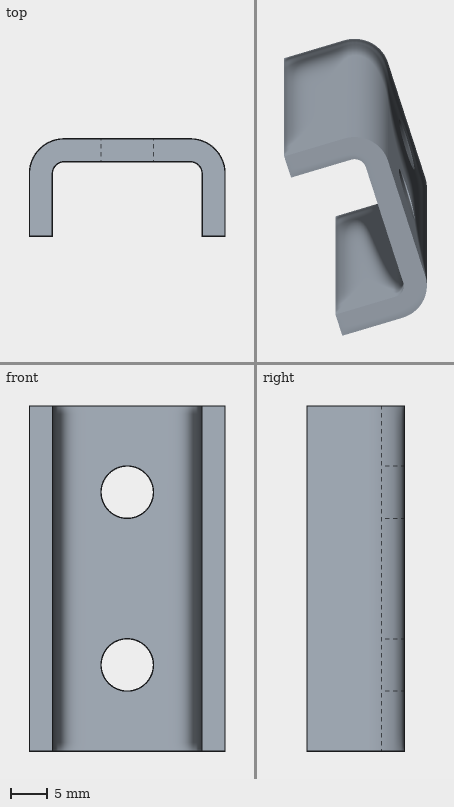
import cadquery as cq

length = 47.6
width = 27.0
depth = 13.5

wall = 3.2
inner_bend_radius = 1.6
outer_bend_radius = inner_bend_radius + wall

hole_diameter = 7.2
hole_spacing = length / 2


def upright_block(block_width, block_depth, bend_radius):
    """Full-length block starting at the open side (Y = 0), rounded along its two back edges."""
    return (
        cq.Workplane("XY")
        .box(block_width, block_depth, length, centered=(True, False, True))
        .edges("|Z and >Y")
        .fillet(bend_radius)
    )


outside = upright_block(width, depth, outer_bend_radius)
inside = upright_block(width - 2 * wall, depth - wall, inner_bend_radius)
channel = outside.cut(inside)

holes = (
    cq.Workplane("XZ")
    .pushPoints([(0, -hole_spacing / 2), (0, hole_spacing / 2)])
    .circle(hole_diameter / 2)
    .extrude(-depth)
)

result = channel.cut(holes)